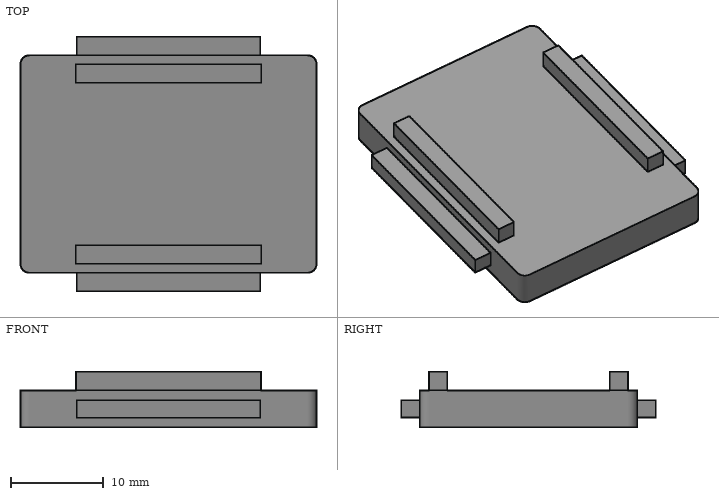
import cadquery as cq

plate_length = 32.0
plate_width = 23.5
plate_thickness = 4.0
corner_radius = 1.0

top_bar_length = 20.0
top_bar_size = plate_thickness / 2
top_bar_inset = 1.0

side_bar_length = 19.8
side_bar_height = 1.9
side_bar_projection = plate_thickness / 2

top_bar_y = plate_width / 2 - top_bar_inset - top_bar_size / 2
side_bar_y = plate_width / 2 + side_bar_projection / 2
side_bar_bottom = (plate_thickness - side_bar_height) / 2


def block(length, width, height, y, bottom):
    """Make a block centred on X and at y, with its underside at bottom."""
    solid = cq.Workplane("XY").box(length, width, height, centered=(True, True, False))
    return solid.translate((0, y, bottom))


plate = block(plate_length, plate_width, plate_thickness, 0, 0)
result = plate.edges("|Z").fillet(corner_radius)

for side in (-1, 1):
    top_bar = block(top_bar_length, top_bar_size, top_bar_size, side * top_bar_y, plate_thickness)
    side_bar = block(
        side_bar_length, side_bar_projection, side_bar_height, side * side_bar_y, side_bar_bottom
    )
    result = result.union(top_bar).union(side_bar)